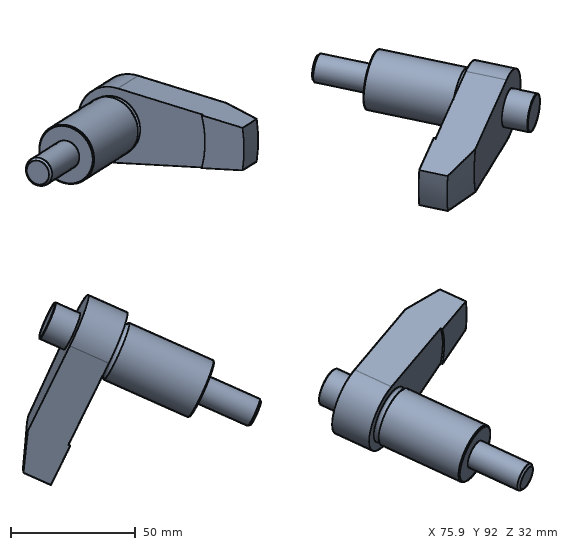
import cadquery as cq
import math


hub_radius = 32.0 / 2
hub_length = 17.2
arm_reach = 59.9
arm_taper = math.radians(6.8)
pad_start_radius = 42.1
pad_height = 0.8
bevel_start_radius = 43.4
bevel_drop = 6.0

button_radius = 16.0 / 2
button_length = 10.95
button_chamfer = 0.3

sleeve_radius = 25.0 / 2
sleeve_end = -39.9
sleeve_chamfer = 0.5
groove_width = 2.4
groove_floor_radius = 11.5
groove_hub_radius = 12.2

pin_radius = 12 / 2
pin_end = hub_length + button_length - 92
pin_chamfer = 0.9


def revolve_about_spindle(profile):
    """Turn a closed (radius, Y) profile about the spindle axis."""
    return profile.close().revolve(360, (0, 0, 0), (0, 1, 0))


def make_arm():
    """Turned slab with pad and bevel, trimmed to sides tangent to the hub."""
    slab = revolve_about_spindle(
        cq.Workplane("XY")
        .moveTo(0, 0)
        .lineTo(pad_start_radius, 0)
        .lineTo(pad_start_radius, -pad_height)
        .lineTo(arm_reach, -pad_height)
        .lineTo(arm_reach, hub_length - bevel_drop)
        .lineTo(bevel_start_radius, hub_length)
        .lineTo(0, hub_length)
    )
    tangent_x = hub_radius * math.sin(arm_taper)
    tangent_z = hub_radius * math.cos(arm_taper)
    tip_z = tangent_z - (arm_reach - tangent_x) * math.tan(arm_taper)
    outline = (
        cq.Workplane("XZ", origin=(0, hub_length, 0))
        .moveTo(tangent_x, tangent_z)
        .lineTo(arm_reach, tip_z)
        .lineTo(arm_reach, -tip_z)
        .lineTo(tangent_x, -tangent_z)
        .threePointArc((-hub_radius, 0), (tangent_x, tangent_z))
        .close()
        .extrude(hub_length + pad_height)
    )
    return slab.intersect(outline)


def make_spindle():
    """Button, sleeve with relief groove, and pin as one turned body."""
    button_end = hub_length + button_length
    return revolve_about_spindle(
        cq.Workplane("XY")
        .moveTo(0, button_end)
        .lineTo(button_radius - button_chamfer, button_end)
        .lineTo(button_radius, button_end - button_chamfer)
        .lineTo(button_radius, 0)
        .lineTo(groove_hub_radius, 0)
        .threePointArc((groove_floor_radius, -groove_width / 2), (sleeve_radius, -groove_width))
        .lineTo(sleeve_radius, sleeve_end + sleeve_chamfer)
        .lineTo(sleeve_radius - sleeve_chamfer, sleeve_end)
        .lineTo(pin_radius, sleeve_end)
        .lineTo(pin_radius, pin_end + pin_chamfer)
        .lineTo(pin_radius - pin_chamfer, pin_end)
        .lineTo(0, pin_end)
    )


result = make_arm().union(make_spindle())